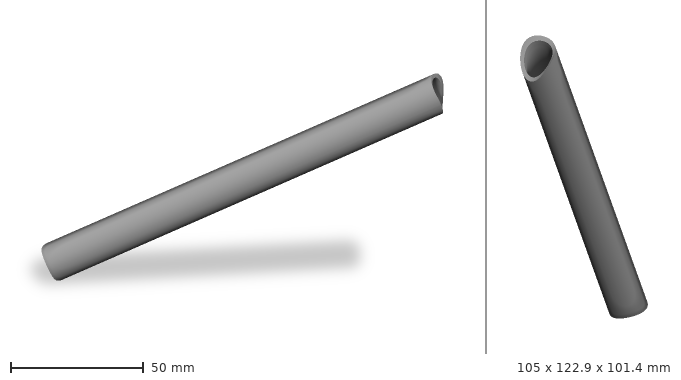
import cadquery as cq
import math


tube_diameter = 15.0
wall = 1.5
tube_radius = tube_diameter / 2

run_x = 104.8
run_y = 125.1
run_z = 100.3
lower_joint = cq.Vector(0, 0, 0)
upper_joint = cq.Vector(run_x, run_y, run_z)
tube_axis = upper_joint - lower_joint

lower_bar_radius = 9.7
lower_bar_lean_x = -4
lower_bar_lean_z = -6.7

upper_bar_radius = 14.5
upper_bar_lean_x = -9
upper_bar_lean_y = -13

bar_length = 5 * tube_diameter


def slope(degrees):
    """Sideways travel per unit of length for a lean given in degrees."""
    return math.tan(math.radians(degrees))


def cylinder(radius, length, start, direction):
    """Solid cylinder running from a start point along a direction."""
    return cq.Workplane(obj=cq.Solid.makeCylinder(radius, length, start, direction))


def make_tube():
    """Plain tube from joint to joint."""
    outside = cylinder(tube_radius, tube_axis.Length, lower_joint, tube_axis)
    bore = cylinder(tube_radius - wall, tube_axis.Length, lower_joint, tube_axis)
    return outside.cut(bore)


def make_bar(joint, direction, radius):
    """Solid bar centred on a joint, used to cope the tube end."""
    start = joint - direction.normalized() * (bar_length / 2)
    return cylinder(radius, bar_length, start, direction)


lower_bar_direction = cq.Vector(slope(lower_bar_lean_x), 1, slope(lower_bar_lean_z))
upper_bar_direction = cq.Vector(slope(upper_bar_lean_x), slope(upper_bar_lean_y), 1)

coped_tube = (
    make_tube()
    .cut(make_bar(lower_joint, lower_bar_direction, lower_bar_radius))
    .cut(make_bar(upper_joint, upper_bar_direction, upper_bar_radius))
)
result = coped_tube.solids()